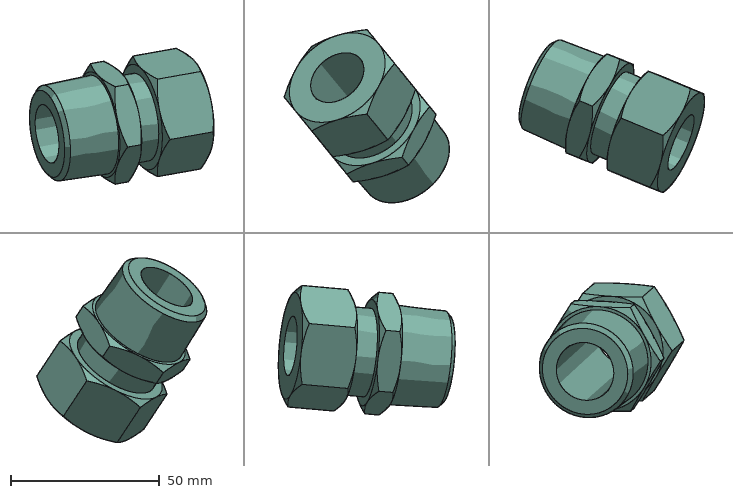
import cadquery as cq
import math

total_length = 53.5
nut_length = 19.0
neck_length = 7.55
collar_length = 8.05
thread_length = total_length - nut_length - neck_length - collar_length

across_flats = 36.0
across_corners = across_flats / math.cos(math.radians(30))
neck_diameter = 29.95
bore_diameter = 20.0

thread_root_diameter = 33.8
thread_taper = 1 / 16
thread_chamfer = 1.5
hex_chamfer_angle = 30.0

thread_end = -total_length / 2
collar_start = thread_end + thread_length
neck_start = collar_start + collar_length
nut_start = neck_start + neck_length


def revolve_profile(points):
    """Revolve (radius, y) points about the Y axis."""
    return cq.Workplane("XY").polyline(points).close().revolve(360, (0, 0, 0), (0, 1, 0))


def chamfered_hex(start, length):
    """Hexagon with corners on X, its corners trimmed by a cone at both ends."""
    end = start + length
    face_radius = across_flats / 2
    corner_radius = across_corners / 2
    drop = (corner_radius - face_radius) * math.tan(math.radians(hex_chamfer_angle))
    prism = (
        cq.Workplane("XZ", origin=(0, end, 0))
        .polygon(6, across_corners)
        .extrude(length)
    )
    envelope = revolve_profile([
        (0, start),
        (face_radius, start),
        (corner_radius, start + drop),
        (corner_radius, end - drop),
        (face_radius, end),
        (0, end),
    ])
    return prism.intersect(envelope)


def tapered_thread():
    """Plain tapered envelope of the male thread with a chamfered tip."""
    root_radius = thread_root_diameter / 2
    tip_radius = root_radius - thread_taper / 2 * (thread_length - thread_chamfer)
    return revolve_profile([
        (0, thread_end),
        (tip_radius - thread_chamfer, thread_end),
        (tip_radius, thread_end + thread_chamfer),
        (root_radius, collar_start),
        (0, collar_start),
    ])


def cylinder(diameter, start, length):
    """Cylinder along Y running from start toward +Y."""
    return cq.Workplane("XZ", origin=(0, start, 0)).circle(diameter / 2).extrude(-length)


body = (
    tapered_thread()
    .union(chamfered_hex(collar_start, collar_length))
    .union(cylinder(neck_diameter, neck_start, neck_length))
    .union(chamfered_hex(nut_start, nut_length))
)

result = body.cut(cylinder(bore_diameter, thread_end, total_length))